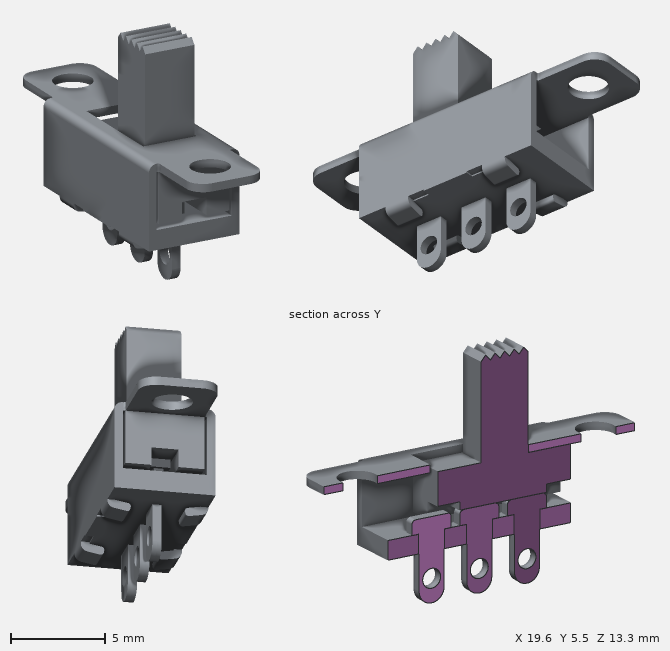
import cadquery as cq
import math

total_length = 19.6
total_height = 13.35

sheet = 0.47
bend_radius = 0.43
frame_length = 11.52
frame_width = 5.5
wall_inner_y = frame_width / 2 - sheet
ear_width = 4.31
ear_corner_radius = 1.0
ear_relief_radius = 0.12
mount_hole_diameter = 2.21
mount_hole_spacing = 15.0
opening_length = 6.2
opening_width = 3.25

base_top_z = -3.76
base_bottom_z = -4.9

leg_outer_x = 4.0
leg_inner_x = 1.45
leg_bottom_z = -4.82
tab_width = 1.53
tab_bend_start_z = -4.94
tab_bend_angle = 80.0
tab_length = 0.88
tab_tip_radius = 0.18

terminal_pitch = 3.0
terminal_width = 1.6
terminal_head_width = 2.49
terminal_thickness = 0.5
terminal_top_z = -2.92
terminal_top_radius = 0.24
terminal_bottom_z = -7.8
terminal_hole_z = -6.4
terminal_hole_diameter = 1.1
terminal_xs = [-terminal_pitch, 0, terminal_pitch]

handle_size = 3.0
handle_top_z = terminal_bottom_z + total_height
handle_x = (opening_length - handle_size) / 2
tooth_count = 5
tooth_depth = 0.35
block_left_x = -2.63
block_right_x = frame_length / 2
block_width = 4.31
block_bottom_z = -3.45
groove_width = 1.47
groove_roof_z = -2.45
rail_width = 1.25
rail_x = terminal_pitch / 2
rail_length = terminal_pitch + terminal_head_width
rail_bottom_z = terminal_top_z


def block(x_min, x_max, y_min, y_max, z_min, z_max):
    """Axis-aligned box between the given limits."""
    size = (x_max - x_min, y_max - y_min, z_max - z_min)
    return cq.Workplane("XY").box(*size, centered=False).translate((x_min, y_min, z_min))


def centred_block(x, length, width, z_min, z_max):
    """Box centred on the given x and on y = 0."""
    return block(x - length / 2, x + length / 2, -width / 2, width / 2, z_min, z_max)


def mirrored_in_x_and_y(shape):
    """The shape in all four quadrants of the XY plane."""
    pair = shape.union(shape.mirror("YZ"))
    return pair.union(pair.mirror("XZ"))


def make_leg():
    """Wall extension that reaches down into a base notch, on the +X, +Y side."""
    return block(leg_inner_x, leg_outer_x, wall_inner_y, frame_width / 2, leg_bottom_z, base_top_z)


def make_tab():
    """Tab at the outer end of a leg, folded inwards under the base, on the +X, +Y side."""
    outer_y = frame_width / 2
    bend_y = outer_y - bend_radius
    angle = math.radians(tab_bend_angle)

    def on_tab(along, out):
        """Point given by distance along the tab and distance outwards, from the bend centre."""
        y = bend_y - along * math.sin(angle) + out * math.cos(angle)
        z = tab_bend_start_z - along * math.cos(angle) - out * math.sin(angle)
        return y, z

    def on_bend(turn):
        return bend_y + bend_radius * math.cos(turn), tab_bend_start_z - bend_radius * math.sin(turn)

    inner_out = bend_radius - sheet
    inner_along = (bend_y + inner_out * math.cos(angle) - wall_inner_y) / math.sin(angle)
    profile = (
        cq.Workplane("YZ", origin=(leg_outer_x - tab_width, 0, 0))
        .moveTo(wall_inner_y, leg_bottom_z)
        .lineTo(outer_y, leg_bottom_z)
        .lineTo(outer_y, tab_bend_start_z)
        .threePointArc(on_bend(angle / 2), on_bend(angle))
        .lineTo(*on_tab(tab_length, bend_radius))
        .lineTo(*on_tab(tab_length, inner_out))
        .lineTo(*on_tab(inner_along, inner_out))
        .close()
    )
    return profile.extrude(tab_width).faces("<Y").edges("|X").fillet(tab_tip_radius)


def make_frame():
    channel = centred_block(0, frame_length, frame_width, base_top_z, 0)
    channel = channel.edges("|X and >Z").fillet(bend_radius)
    channel = channel.cut(centred_block(0, frame_length, 2 * wall_inner_y, base_top_z, -sheet))

    ears = centred_block(0, total_length, ear_width, -sheet, 0)
    ears = ears.edges("|Z").fillet(ear_corner_radius)

    corner_x = frame_length / 2
    corner_y = ear_width / 2
    relief = block(corner_x, corner_x + ear_relief_radius,
                   corner_y, corner_y + ear_relief_radius, -sheet, 0)
    bite = (
        cq.Workplane("XY")
        .center(corner_x + ear_relief_radius, corner_y + ear_relief_radius)
        .circle(ear_relief_radius)
        .extrude(-sheet)
    )
    frame = channel.union(ears).union(mirrored_in_x_and_y(relief.cut(bite)))

    frame = frame.cut(centred_block(0, opening_length, opening_width, -sheet, 0))
    mount_holes = (
        cq.Workplane("XY")
        .pushPoints([(-mount_hole_spacing / 2, 0), (mount_hole_spacing / 2, 0)])
        .circle(mount_hole_diameter / 2)
        .extrude(-sheet)
    )
    frame = frame.cut(mount_holes)
    return frame.union(mirrored_in_x_and_y(make_leg().union(make_tab())))


def make_base():
    base = centred_block(0, frame_length, frame_width, base_bottom_z, base_top_z)
    notch = block(leg_inner_x, leg_outer_x, wall_inner_y, frame_width / 2, base_bottom_z, base_top_z)
    base = base.cut(mirrored_in_x_and_y(notch))
    for x in terminal_xs:
        base = base.cut(centred_block(x, terminal_width, terminal_thickness, base_bottom_z, base_top_z))
    return base


def make_slider():
    block_length = block_right_x - block_left_x
    block_x = (block_left_x + block_right_x) / 2
    body = centred_block(block_x, block_length, block_width, block_bottom_z, -sheet)
    body = body.cut(centred_block(block_x, block_length, groove_width, block_bottom_z, groove_roof_z))
    body = body.union(centred_block(rail_x, rail_length, rail_width, rail_bottom_z, groove_roof_z))

    left_x = handle_x - handle_size / 2
    valley_z = handle_top_z - tooth_depth
    tooth_pitch = handle_size / tooth_count
    outline = [(left_x, -sheet), (left_x, valley_z)]
    for i in range(tooth_count):
        outline.append((left_x + (i + 0.5) * tooth_pitch, handle_top_z))
        outline.append((left_x + (i + 1) * tooth_pitch, valley_z))
    outline.append((left_x + handle_size, -sheet))
    handle = cq.Workplane("XZ").polyline(outline).close().extrude(handle_size / 2, both=True)
    return body.union(handle)


def make_terminal(x):
    """Wide contact head above the base, on a solder lug with a round lower end and a wire hole."""
    head = centred_block(x, terminal_head_width, terminal_thickness, base_top_z, terminal_top_z)
    head = head.edges("|Y and >Z").fillet(terminal_top_radius)
    round_end_z = terminal_bottom_z + terminal_width / 2
    lug = centred_block(x, terminal_width, terminal_thickness, round_end_z, base_top_z)
    round_end = (
        cq.Workplane("XZ")
        .center(x, round_end_z)
        .circle(terminal_width / 2)
        .extrude(terminal_thickness / 2, both=True)
    )
    wire_hole = (
        cq.Workplane("XZ")
        .center(x, terminal_hole_z)
        .circle(terminal_hole_diameter / 2)
        .extrude(terminal_thickness / 2, both=True)
    )
    return head.union(lug).union(round_end).cut(wire_hole)


frame = make_frame()
base = make_base()
slider = make_slider()
terminals = [make_terminal(x) for x in terminal_xs]

result = cq.Compound.makeCompound(
    [frame.val(), base.val(), slider.val(), *[terminal.val() for terminal in terminals]]
)